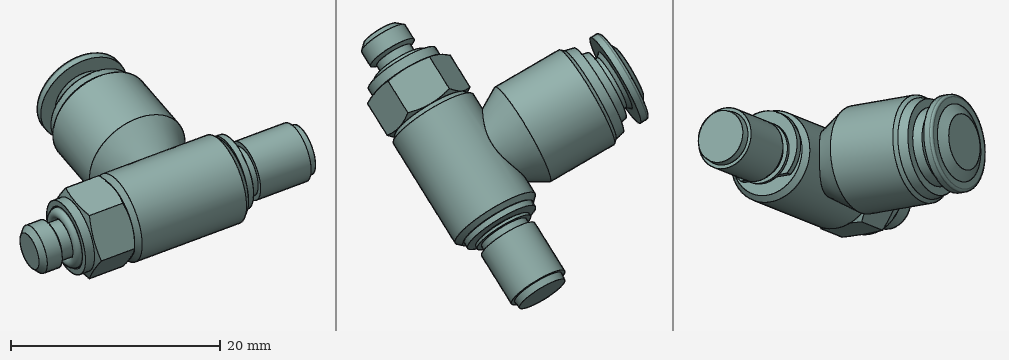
import cadquery as cq
import math

stem_length = 30.0
branch_y = 15.55
branch_reach = 18.4

nose_radius = 2.45
nose_tip_radius = 1.85
nose_chamfer_end = 0.57
nose_back = 2.22
nose_neck_radius = 1.92
nose_neck_start = 2.5

flange_radius = 3.78
flange_face = 4.02
ring_section = 0.57
ring_pitch_radius = nose_neck_radius + ring_section
groove_radius = 3.18

hex_sides = 6
hex_across_flats = 8.0
hex_start = 5.0
hex_end = 9.3
hex_front_chamfer = 0.27
hex_back_chamfer_angle = 30.0

body_radius = 4.5
body_end = 21.85
body_chamfer = 0.55

collar_radius = 3.8
collar_lift = 0.42
collar_end = 22.47
collar_flat_depth = 2.3

stem_neck_radius = 2.52
washer_radius = 3.0
washer_start = 22.62
washer_end = 22.92
knob_radius = 3.0
knob_start = 23.7
knob_end = 29.25
knob_boss_radius = 2.65
knob_boss_end_radius = 2.55

branch_radius = 5.25
branch_taper_start = 6.5
branch_taper_end = 1.5
branch_taper_angle = 30.0
branch_chamfer_start = 13.65
branch_step_start = 14.0
branch_step_end = 15.0
branch_step_radius = 4.92
branch_step_end_radius = 4.68
guide_end = 15.93
guide_radius = 3.85
guide_end_radius = 3.63

button_neck_radius = 2.75
button_neck_end = 16.47
button_flange_start = 16.85
button_flange_end = 17.8
button_flange_radius = 4.75
button_flange_rounding = 0.27
button_cone_radius = 3.78
button_end_radius = 2.73

stem_origin = cq.Vector(0, 0, 0)
stem_direction = cq.Vector(0, 1, 0)
branch_origin = cq.Vector(0, branch_y, 0)
branch_direction = cq.Vector(-1, 0, 0)


def turned(origin, direction, start, end, radius, end_radius=None):
    """Cylinder, or cone when end_radius is given, between two stations along an axis."""
    base = origin + direction * start
    if end_radius is None:
        solid = cq.Solid.makeCylinder(radius, end - start, base, direction)
    else:
        solid = cq.Solid.makeCone(radius, end_radius, end - start, base, direction)
    return cq.Workplane(obj=solid)


def stem_turned(start, end, radius, end_radius=None):
    return turned(stem_origin, stem_direction, start, end, radius, end_radius)


def branch_turned(start, end, radius, end_radius=None):
    return turned(branch_origin, branch_direction, start, end, radius, end_radius)


def make_nose():
    tip = stem_turned(0, nose_chamfer_end, nose_tip_radius, nose_radius)
    barrel = stem_turned(nose_chamfer_end, nose_back, nose_radius)
    back = stem_turned(nose_back, nose_neck_start, nose_radius, nose_neck_radius)
    neck = stem_turned(nose_neck_start, hex_start, nose_neck_radius)
    return tip.union(barrel).union(back).union(neck)


def make_seat():
    groove_floor = flange_face + ring_section
    flange = stem_turned(flange_face, hex_start, flange_radius)
    groove = stem_turned(flange_face, groove_floor, groove_radius)
    core = stem_turned(flange_face, groove_floor, ring_pitch_radius)
    ring = cq.Workplane(
        obj=cq.Solid.makeTorus(
            ring_pitch_radius, ring_section, stem_direction * flange_face, stem_direction
        )
    )
    return flange.cut(groove).union(core).union(ring)


def make_hexagon():
    flat_radius = hex_across_flats / 2
    corner_radius = flat_radius / math.cos(math.pi / hex_sides)
    front_end = hex_start + hex_front_chamfer
    back_slope = math.tan(math.radians(hex_back_chamfer_angle))
    back_start = hex_end - (corner_radius - flat_radius) * back_slope
    prism = (
        cq.Workplane("XZ")
        .polygon(hex_sides, 2 * corner_radius)
        .extrude(-(hex_end - hex_start))
        .translate((0, hex_start, 0))
    )
    front = stem_turned(hex_start, front_end, flange_radius, corner_radius)
    middle = stem_turned(front_end, back_start, corner_radius)
    back = stem_turned(back_start, hex_end, corner_radius, flat_radius)
    return prism.intersect(front.union(middle).union(back))


def make_body():
    return stem_turned(hex_end, body_end, body_radius).faces("<Y or >Y").chamfer(body_chamfer)


def make_collar():
    thickness = collar_end - body_end
    disc = stem_turned(body_end, collar_end, collar_radius).translate((0, 0, collar_lift))
    kept_height = collar_flat_depth + collar_lift + collar_radius
    above_flat = cq.Workplane("XY").box(
        2 * collar_radius, thickness, kept_height, centered=(True, False, False)
    )
    return disc.intersect(above_flat.translate((0, body_end, -collar_flat_depth)))


def make_knob():
    neck = stem_turned(body_end, knob_start, stem_neck_radius)
    washer = stem_turned(washer_start, washer_end, washer_radius)
    grip = stem_turned(knob_start, knob_end, knob_radius)
    boss = stem_turned(knob_end, stem_length, knob_boss_radius, knob_boss_end_radius)
    return neck.union(washer).union(grip).union(boss)


def make_branch():
    taper_length = branch_taper_start - branch_taper_end
    root_radius = branch_radius - taper_length * math.tan(math.radians(branch_taper_angle))
    taper = branch_turned(branch_taper_end, branch_taper_start, root_radius, branch_radius)
    barrel = branch_turned(branch_taper_start, branch_chamfer_start, branch_radius)
    chamfer = branch_turned(
        branch_chamfer_start, branch_step_start, branch_radius, branch_step_radius
    )
    step = branch_turned(
        branch_step_start, branch_step_end, branch_step_radius, branch_step_end_radius
    )
    guide = branch_turned(branch_step_end, guide_end, guide_radius, guide_end_radius)
    return taper.union(barrel).union(chamfer).union(step).union(guide)


def make_button():
    neck = branch_turned(guide_end, button_flange_start, button_neck_radius)
    flare_radius = button_neck_radius + button_flange_start - button_neck_end
    flare = branch_turned(
        button_neck_end, button_flange_start, button_neck_radius, flare_radius
    )
    flange = branch_turned(button_flange_start, button_flange_end, button_flange_radius)
    flange = flange.faces("<X").edges().fillet(button_flange_rounding)
    cone = branch_turned(button_flange_end, branch_reach, button_cone_radius, button_end_radius)
    return neck.union(flare).union(flange).union(cone)


result = (
    make_body()
    .union(make_hexagon())
    .union(make_seat())
    .union(make_nose())
    .union(make_collar())
    .union(make_knob())
    .union(make_branch())
    .union(make_button())
)